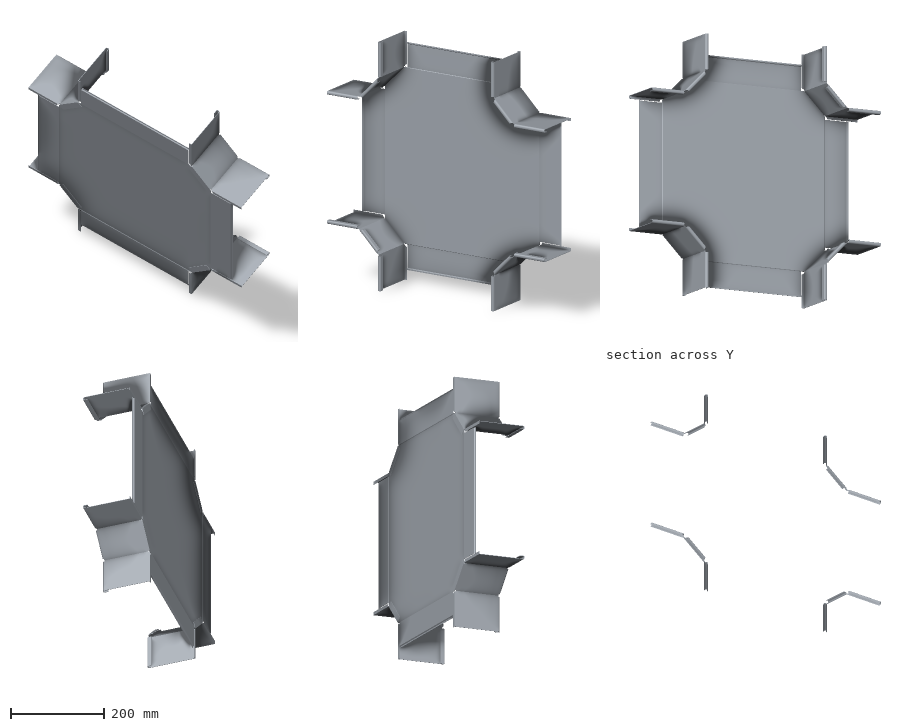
import cadquery as cq
import math

half_span = 277.0
depth = 107.0
leg_offset = 148.0
diagonal_run = 49.5
sheet = 1.0

bend_radius = 4.0
lip_bend_radius = 3.0
rim_width = 8.0
lip_depth = 10.5

leg_flange_width = 6.5
tab_width = 14.5
tab_end_gap = 1.0

corner_gap = 3.0
trim_slope = 0.6
relief_width = 3.0
relief_height = 3.5

strip_half_width = 139.5
strip_end = 253.5
step_run = 1.0
step_side_gap = 0.5
raised_edge_start = 249.5
raised_edge_run = 1.5
raised_edge_rise = 2.0

corner_offset = leg_offset + diagonal_run
leg_length = half_span - corner_offset
diagonal_length = diagonal_run * math.sqrt(2)
plate_bottom = sheet
bend_bottom = depth - bend_radius
half_root = math.sqrt(0.5)


def about_y(body, angle):
    """The body turned about the Y axis."""
    return body.rotate((0, 0, 0), (0, 1, 0), angle)


def prism(outline, bottom, top):
    """Solid between two Y levels with an outline given as (x, z) points."""
    return (
        cq.Workplane("XZ", origin=(0, bottom, 0))
        .polyline(outline)
        .close()
        .extrude(bottom - top)
    )




def trimmed_outline(width, start, end, start_slope, end_slope):
    """Outline of an edge strip whose ends recede with growing distance from the wall."""
    return [
        (0, start),
        (width, start + start_slope * width),
        (width, end - end_slope * width),
        (0, end),
    ]


def bend_corner(radius):
    """Distance of the arc middles of a bend, outer and inner, from the sharp outer corner."""
    outer = radius * (1 - half_root)
    return outer, outer + sheet * half_root


def rim(outline, length):
    """Hooked rim: two rounded bends and a lip, with its ends trimmed to the outline."""
    lip_bend_bottom = depth - lip_bend_radius
    lip_bottom = depth - lip_depth
    wall_outer, wall_inner = bend_corner(bend_radius)
    lip_outer, lip_inner = bend_corner(lip_bend_radius)
    hook = (
        cq.Workplane("XY")
        .moveTo(0, bend_bottom)
        .threePointArc((wall_outer, depth - wall_outer), (bend_radius, depth))
        .lineTo(rim_width - lip_bend_radius, depth)
        .threePointArc((rim_width - lip_outer, depth - lip_outer), (rim_width, lip_bend_bottom))
        .lineTo(rim_width, lip_bottom)
        .lineTo(rim_width - sheet, lip_bottom)
        .lineTo(rim_width - sheet, lip_bend_bottom)
        .threePointArc(
            (rim_width - lip_inner, depth - lip_inner), (rim_width - lip_bend_radius, depth - sheet)
        )
        .lineTo(bend_radius, depth - sheet)
        .threePointArc((wall_inner, depth - wall_inner), (sheet, bend_bottom))
        .close()
        .extrude(length)
    )
    return hook.intersect(prism(outline, 0, depth))


def leg_edges():
    """Rim and flange of a leg that runs from its wall corner at z = 0."""
    rim_outline = trimmed_outline(rim_width, corner_gap, leg_length, 0, 0)
    flange_outline = trimmed_outline(leg_flange_width, corner_gap, leg_length, trim_slope, 0)
    return rim(rim_outline, leg_length).union(prism(flange_outline, 0, sheet))


def diagonal_edges():
    """Rim and tab of a 45 degree wall that runs from its first corner at z = 0."""
    rim_outline = trimmed_outline(
        rim_width, corner_gap, diagonal_length - corner_gap, trim_slope, trim_slope
    )
    tab_outline = trimmed_outline(tab_width, tab_end_gap, diagonal_length - tab_end_gap, 0, 0)
    return rim(rim_outline, diagonal_length).union(prism(tab_outline, 0, sheet))


def side_walls():
    """The bent sheet of the corner at -X, +Z: a 45 degree wall between two legs."""
    bend_shift = sheet * math.tan(math.radians(22.5))
    inner_leg = leg_offset - sheet
    inner_corner = corner_offset - bend_shift
    outline = [
        (-leg_offset, half_span),
        (-leg_offset, corner_offset),
        (-corner_offset, leg_offset),
        (-half_span, leg_offset),
        (-half_span, inner_leg),
        (-inner_corner, inner_leg),
        (-inner_leg, inner_corner),
        (-inner_leg, half_span),
    ]
    return prism(outline, 0, bend_bottom)


def side_plate():
    """Side plate of the corner at -X, +Z."""
    first_corner = (-leg_offset, 0, corner_offset)
    second_corner = (-corner_offset, 0, leg_offset)
    upright_leg = leg_edges().translate(first_corner)
    flat_leg = about_y(leg_edges().mirror("YZ"), -90).translate(second_corner)
    diagonal = about_y(diagonal_edges(), 45).translate(second_corner)
    plate = side_walls().union(upright_leg).union(flat_leg).union(diagonal)
    for corner in (first_corner, second_corner):
        relief = cq.Workplane("XY").box(relief_width, 2 * relief_height, relief_width)
        plate = plate.cut(relief.translate(corner))
    return plate




def octagon():
    """Central plate, resting on the tabs and fitted between the 45 degree walls."""
    edge = corner_offset - step_run
    inner_diagonal = leg_offset + corner_offset - sheet * math.sqrt(2)
    half_edge = inner_diagonal - edge
    outline = [
        (half_edge, edge),
        (edge, half_edge),
        (edge, -half_edge),
        (half_edge, -edge),
        (-half_edge, -edge),
        (-edge, -half_edge),
        (-edge, half_edge),
        (-half_edge, edge),
    ]
    return prism(outline, plate_bottom, plate_bottom + sheet)


def sloped_sheet(points, half_width):
    """Sheet that follows (y, z) points on its underside and is centred on x = 0."""
    upper_points = [(y + sheet, z) for y, z in reversed(points)]
    return (
        cq.Workplane("YZ", origin=(-half_width, 0, 0))
        .polyline(points + upper_points)
        .close()
        .extrude(2 * half_width)
    )


def connection_strip():
    """Strip on the +Z side: stepped down from the plate, with a raised edge at its outer end."""
    step = sloped_sheet(
        [(plate_bottom, corner_offset - step_run), (0, corner_offset)],
        leg_offset - sheet - step_side_gap,
    )
    strip = sloped_sheet(
        [
            (0, corner_offset),
            (0, raised_edge_start),
            (raised_edge_rise, raised_edge_start + raised_edge_run),
            (raised_edge_rise, strip_end),
        ],
        strip_half_width,
    )
    return step.union(strip)


def base():
    """Octagonal plate with four connection strips."""
    body = octagon()
    for quarter in range(4):
        body = body.union(about_y(connection_strip(), 90 * quarter))
    return body


base_plate = base()
side_plates = [about_y(side_plate(), 90 * quarter) for quarter in range(4)]
result = cq.Compound.makeCompound([base_plate.val(), *[plate.val() for plate in side_plates]])